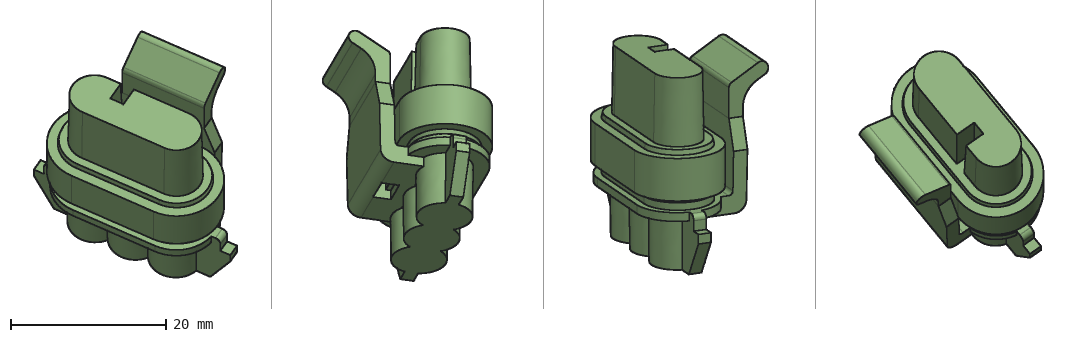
import cadquery as cq
import math

flange_bottom = 7.35
flange_top = 8.53
neck_top = 9.55
seal_bottom = 10.25
seal_top = 16.0
shoulder_top = 16.7
plug_top = 26.0

straight_length = 12.12
flange_radius = 5.7
flange_shift = -0.1
neck_radius = 4.75
groove_waist_radius = 4.58
seal_radius = 6.15
shoulder_top_radius = 4.58
plug_base_radius = 3.42
plug_top_radius = 3.25

barrel_pitch = 5.95
barrel_bottom_radius = 3.62
barrel_top_radius = 3.7

wing_thickness = 1.8
wing_half_span = 14.5
wing_shoulder_half = 13.02
wing_bottom_half = 11.55
wing_step_top = 6.32
wing_step_bottom = 5.02
wing_corner_radius = 0.75

slot_left = -3.97
slot_right = -2.03
slot_front = 0.45
slot_draft = 0.17
slot_groove_back = 2.1

foot_bottom = 6.0
foot_front = 2.9
arm_outer_bottom = 9.05
arm_outer = 9.3
arm_inner = 7.3
arm_inner_bottom = 7.13
foot_outer_radius = 1.75
foot_inner_radius = 0.6
hook_angle = 30
hook_corner_top = 23.05
hook_corner_radius = 0.75
hook_bend_radius = 3.92
hook_tip_radius = 1.0
hook_reach = 12.9
latch_wide = 15.3
latch_narrow = straight_length
narrowing_start = 14.45
narrowing_end = 18.45
window_width = 3.9
window_front = 4.93


def obround(bottom, top, bottom_radius, top_radius):
    """Upright obround whose end radius changes evenly from bottom to top."""
    height = top - bottom
    draft = math.degrees(math.atan2(bottom_radius - top_radius, height))
    outline = cq.Workplane("XY").workplane(offset=bottom).slot2D(
        straight_length + 2 * bottom_radius, 2 * bottom_radius)
    return outline.extrude(height, taper=draft)


def make_body():
    body = obround(flange_bottom, flange_top, flange_radius, flange_radius)
    body = body.translate((0, flange_shift, 0))
    levels = [
        (flange_top, neck_top, neck_radius, neck_radius),
        (neck_top, seal_bottom, groove_waist_radius, neck_radius),
        (seal_bottom, seal_top, seal_radius, seal_radius),
        (seal_top, shoulder_top, neck_radius, shoulder_top_radius),
        (shoulder_top, plug_top, plug_base_radius, plug_top_radius),
    ]
    for level in levels:
        body = body.union(obround(*level))
    return body


def make_barrels():
    barrel = cq.Workplane("XY").circle(barrel_bottom_radius)
    barrel = barrel.workplane(offset=flange_bottom).circle(barrel_top_radius).loft()
    barrels = barrel
    for side in (-1, 1):
        barrels = barrels.union(barrel.translate((side * barrel_pitch, 0, 0)))
    return barrels


def make_wings():
    right_edge = [
        (wing_bottom_half, 0),
        (wing_half_span, wing_step_bottom),
        (wing_half_span, wing_step_top),
        (wing_shoulder_half, wing_step_top),
        (wing_shoulder_half, flange_top),
    ]
    left_edge = [(-x, z) for x, z in reversed(right_edge)]
    wings = cq.Workplane("XZ").polyline(right_edge + left_edge).close()
    wings = wings.extrude(wing_thickness / 2, both=True)
    return wings.edges("|Y").edges(">Z").fillet(wing_corner_radius)


def make_slot():
    """Key slot narrowing downward, with a half-round groove in its floor."""
    floor_left = slot_left + slot_draft
    floor_right = slot_right - slot_draft
    floor_front = slot_front + slot_draft
    back = seal_radius
    slot = (
        cq.Workplane("XY").workplane(offset=shoulder_top)
        .polyline([(floor_left, floor_front), (floor_right, floor_front),
                   (floor_right, back), (floor_left, back)]).close()
        .workplane(offset=plug_top - shoulder_top)
        .polyline([(slot_left, slot_front), (slot_right, slot_front),
                   (slot_right, back), (slot_left, back)]).close()
        .loft(ruled=True)
    )
    groove = (
        cq.Workplane("XZ", origin=(0, floor_front, 0))
        .center((floor_left + floor_right) / 2, shoulder_top)
        .circle((floor_right - floor_left) / 2)
        .extrude(floor_front - slot_groove_back)
    )
    return slot.union(groove)


def make_latch():
    angle = math.radians(hook_angle)
    tip_y = hook_reach - hook_tip_radius
    tip_z = (hook_corner_top + (tip_y - arm_inner) * math.tan(angle)
             - hook_tip_radius / math.cos(angle))
    normal_y = hook_tip_radius * math.sin(angle)
    normal_z = hook_tip_radius * math.cos(angle)
    tip_upper = (tip_y - normal_y, tip_z + normal_z)
    tip_lower = (tip_y + normal_y, tip_z - normal_z)
    tip_end = (tip_y + normal_z, tip_z + normal_y)
    bend_z = tip_lower[1] - (tip_lower[0] - arm_outer) * math.tan(angle)

    profile = (
        cq.Workplane("YZ").moveTo(foot_front, foot_bottom)
        .lineTo(arm_outer_bottom, foot_bottom)
        .lineTo(arm_outer, narrowing_end)
        .lineTo(arm_outer, bend_z)
        .lineTo(*tip_lower)
        .threePointArc(tip_end, tip_upper)
        .lineTo(arm_inner, hook_corner_top)
        .lineTo(arm_inner, narrowing_end)
        .lineTo(arm_inner_bottom, flange_top)
        .lineTo(foot_front, flange_top)
        .close()
    )
    latch = profile.extrude(latch_wide / 2, both=True)
    rounded_corners = [
        (arm_outer_bottom, foot_bottom, foot_outer_radius),
        (arm_inner_bottom, flange_top, foot_inner_radius),
        (arm_inner, hook_corner_top, hook_corner_radius),
        (arm_outer, bend_z, hook_bend_radius),
    ]
    for y, z, radius in rounded_corners:
        corner = cq.selectors.NearestToPointSelector((0, y, z))
        latch = latch.edges("|X").edges(corner).fillet(radius)

    wide = latch_wide / 2
    narrow = latch_narrow / 2
    back_outline = (
        cq.Workplane("XZ")
        .polyline([(-wide, 0), (wide, 0), (wide, narrowing_start), (narrow, narrowing_end),
                   (narrow, plug_top), (-narrow, plug_top), (-narrow, narrowing_end),
                   (-wide, narrowing_start)]).close()
        .extrude(-hook_reach)
    )
    window = cq.Workplane("XY").box(
        window_width, arm_inner - window_front, narrowing_start,
        centered=(True, False, False)).translate((0, window_front, 0))
    return latch.intersect(back_outline).cut(window)


body = make_body().cut(make_slot())
result = body.union(make_barrels()).union(make_wings()).union(make_latch())